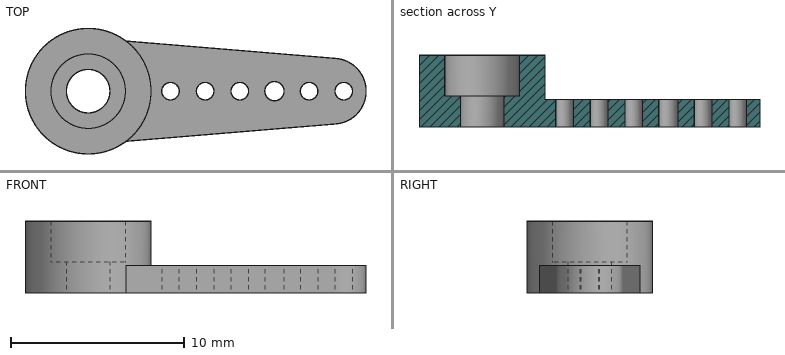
import cadquery as cq
import math

hub_radius = 3.63
hub_height = 4.15
bore_diameter = 2.5
socket_diameter = 4.3
socket_floor = 1.8

part_length = 19.68
arm_thickness = 1.6
arm_root_half_width = 2.9
arm_end_half_width = 1.9
arm_end_x = 14.27

hole_count = 6
hole_pitch = 2.0
first_hole_x = 4.75
hole_diameter = 1.0
wide_hole_index = 3
wide_hole_diameter = 1.1

arm_tip_x = part_length - hub_radius
arm_root_x = math.sqrt(hub_radius**2 - arm_root_half_width**2)


def make_hub():
    return cq.Workplane("XY").circle(hub_radius).extrude(hub_height)


def make_arm():
    return (
        cq.Workplane("XY")
        .moveTo(arm_root_x, -arm_root_half_width)
        .lineTo(arm_end_x, -arm_end_half_width)
        .threePointArc((arm_tip_x, 0), (arm_end_x, arm_end_half_width))
        .lineTo(arm_root_x, arm_root_half_width)
        .close()
        .extrude(arm_thickness)
    )


def make_hub_bore():
    through_bore = cq.Workplane("XY").circle(bore_diameter / 2).extrude(hub_height)
    socket = (
        cq.Workplane("XY", origin=(0, 0, socket_floor))
        .circle(socket_diameter / 2)
        .extrude(hub_height - socket_floor)
    )
    return through_bore.union(socket)


def make_linkage_holes():
    holes = cq.Workplane("XY")
    for index in range(hole_count):
        diameter = wide_hole_diameter if index == wide_hole_index else hole_diameter
        hole_x = first_hole_x + index * hole_pitch
        hole = cq.Workplane("XY").center(hole_x, 0).circle(diameter / 2).extrude(arm_thickness)
        holes = holes.add(hole)
    return holes.combine()


result = make_hub().union(make_arm()).cut(make_hub_bore()).cut(make_linkage_holes())